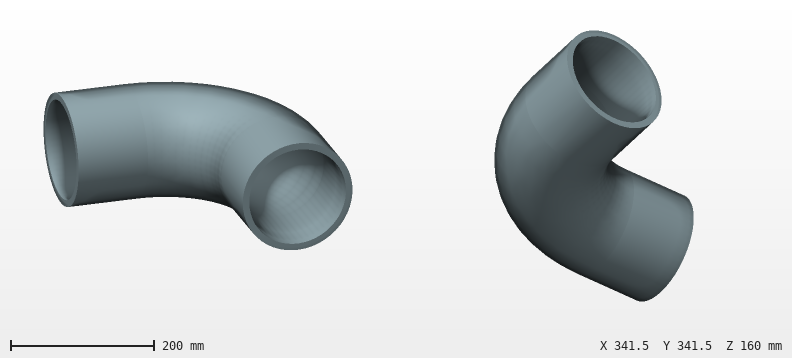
import cadquery as cq
import math

overall_length = 341.5
outer_diameter = 160.0
wall_thickness = 9.5

bend_radius = outer_diameter
outer_radius = outer_diameter / 2
inner_radius = outer_radius - wall_thickness
leg_length = overall_length - bend_radius - outer_radius

bend_start = (0, leg_length)
bend_middle = (
    bend_radius * (1 - math.cos(math.pi / 4)),
    leg_length + bend_radius * math.sin(math.pi / 4),
)
bend_end = (bend_radius, leg_length + bend_radius)
pipe_end = (bend_radius + leg_length, leg_length + bend_radius)

centreline = (
    cq.Workplane("XY")
    .lineTo(*bend_start)
    .threePointArc(bend_middle, bend_end)
    .lineTo(*pipe_end)
)

result = (
    cq.Workplane("XZ")
    .circle(outer_radius)
    .circle(inner_radius)
    .sweep(centreline)
)